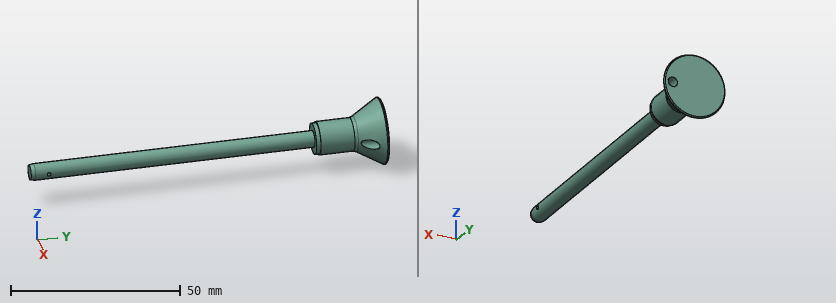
import cadquery as cq

overall_length = 107
flare_radius = 10.0
rim_thickness = 0.6
rim_chamfer = 0.3
body_radius = 5.0
sleeve_radius = 4.7
shank_radius = 2.51

flare_start = overall_length - 9.4
body_front = overall_length - 19.7
sleeve_front = overall_length - 21.0

collar_radius = 5.4
collar_length = 1.0

tip_length = 1.3
tip_radius = 2.2

ball_radius = 0.6
ball_reach = 2.84
ball_station = 5.4

hole_diameter = 3.0
hole_offset = 7.3


def make_turned_body():
    """Shank, sleeve, body and flare as one revolved profile."""
    return (
        cq.Workplane("XY")
        .lineTo(tip_radius, 0)
        .lineTo(shank_radius, tip_length)
        .lineTo(shank_radius, sleeve_front)
        .lineTo(sleeve_radius, sleeve_front)
        .lineTo(sleeve_radius, body_front)
        .lineTo(body_radius, body_front)
        .lineTo(body_radius, flare_start)
        .lineTo(collar_radius, flare_start + collar_length)
        .lineTo(flare_radius, overall_length - rim_thickness)
        .lineTo(flare_radius, overall_length - rim_chamfer)
        .lineTo(flare_radius - rim_chamfer, overall_length)
        .lineTo(0, overall_length)
        .close()
        .revolve(360, (0, 0, 0), (0, 1, 0))
    )


def make_locking_ball(side):
    """Ball protruding from the shank on the given X side (+1 or -1)."""
    center_x = side * (ball_reach - ball_radius)
    return cq.Workplane("XY").sphere(ball_radius).translate((center_x, ball_station, 0))


def make_lanyard_hole():
    """Cutter parallel to the pin axis, passing through the flare only."""
    return (
        cq.Workplane("XZ", origin=(hole_offset, overall_length, 0))
        .circle(hole_diameter / 2)
        .extrude(overall_length - flare_start)
    )


result = make_turned_body()
for side in (-1, 1):
    result = result.union(make_locking_ball(side))
result = result.cut(make_lanyard_hole())